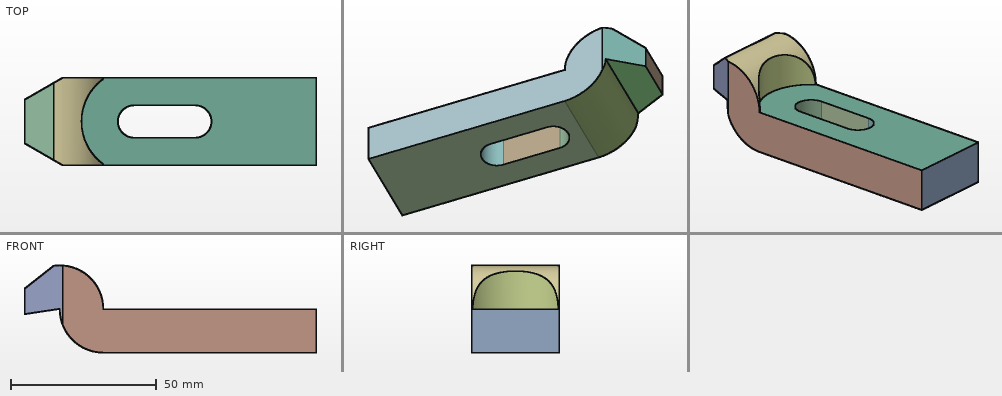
import cadquery as cq

length = 100.0
width = 30.0
bar_thickness = 15.0
bend_radius = 15.0
height = bar_thickness + bend_radius

neck_x = 12.0
heel_x = neck_x + bend_radius
crest_x = 10.0
crest_z = bar_thickness + (bend_radius**2 - (neck_x - crest_x) ** 2) ** 0.5
tip_bottom = 13.2
tip_top = 22.0
tip_width = 15.0
taper_length = 13.0

slot_width = 11.0
slot_length = 32.0
slot_start = 32.0
slot_front_x = slot_start + slot_width / 2
clearance_radius = 18.0


def make_body():
    """Side outline of the cranked clamp, extruded across the width."""
    diagonal = bend_radius * 0.5**0.5
    return (
        cq.Workplane("XZ")
        .moveTo(0, tip_bottom)
        .lineTo(neck_x, bar_thickness)
        .threePointArc((heel_x - diagonal, bend_radius - diagonal), (heel_x, 0))
        .lineTo(length, 0)
        .lineTo(length, bar_thickness)
        .lineTo(heel_x, bar_thickness)
        .threePointArc((neck_x + diagonal, bar_thickness + diagonal), (crest_x, crest_z))
        .lineTo(0, tip_top)
        .close()
        .extrude(width / 2, both=True)
    )


def make_plan():
    """Full-height block with the tapered nose outline seen from above."""
    return (
        cq.Workplane("XY")
        .moveTo(0, -tip_width / 2)
        .lineTo(taper_length, -width / 2)
        .lineTo(length, -width / 2)
        .lineTo(length, width / 2)
        .lineTo(taper_length, width / 2)
        .lineTo(0, tip_width / 2)
        .close()
        .extrude(height)
    )


def make_slot():
    """Through slot with round ends."""
    return (
        cq.Workplane("XY")
        .center(slot_start + slot_length / 2, 0)
        .slot2D(slot_length, slot_width)
        .extrude(height)
    )


def make_clearance():
    """Round space above the bar that hollows the back of the nose."""
    return (
        cq.Workplane("XY", origin=(slot_front_x, 0, bar_thickness))
        .circle(clearance_radius)
        .extrude(bend_radius)
    )


result = make_body().intersect(make_plan()).cut(make_slot()).cut(make_clearance())